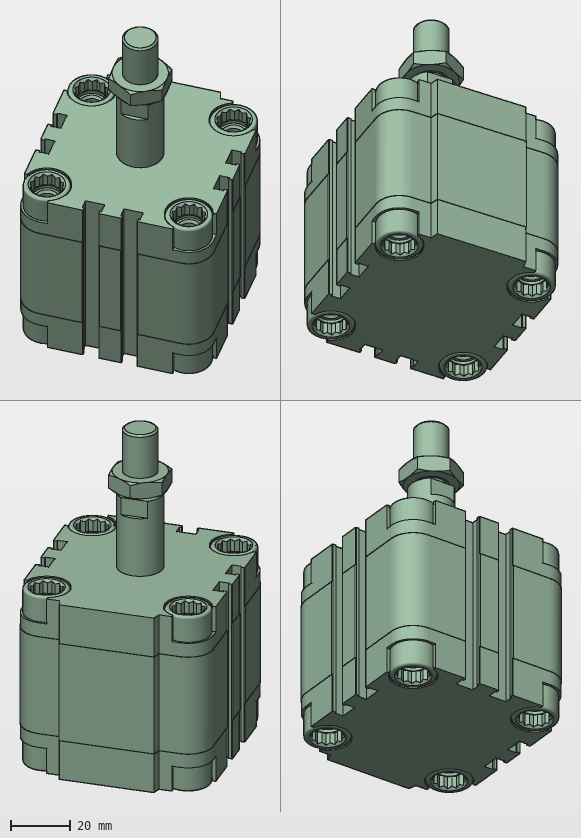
import cadquery as cq
import math

TOTAL_HEIGHT = 117.0

HOUSING_WIDTH = 68.0
HOUSING_HEIGHT = 65.3
END_LENGTH = 14.5
END_INSET = 0.1
HOLE_OFFSET = 25.0
HALF_WIDTH = HOUSING_WIDTH / 2
CORNER_RADIUS = HALF_WIDTH - HOLE_OFFSET
PAD_TOP_Y = 37.0
PAD_TOP_HALF_WIDTH = 16.8
PAD_BASE_HALF_WIDTH = 17.7

SLOT_OFFSET = 6.8
SLOT_DEPTH = 4.9
SLOT_WIDTH = 6.8
MOUTH_WIDTH = 5.5
LIP_THICKNESS = 1.5
LIP_CHAMFER = 0.4

BOSS_DIAMETER = 16.0
BOSS_FILLET = 0.8
GROOVE_DIAMETER = 16.5
CORNER_CUT_DEPTH = 9.4
CORNER_CUT_REACH = 2.9

SOCKET_RIDGE_DIAMETER = 10.4
SOCKET_POINTS = 12
SOCKET_DEPTH = 5.0
LEAD_IN_DIAMETER = 12.6
LEAD_IN_DEPTH = 1.0
BORE_DIAMETER = 10.2
BORE_DEPTH = 6.2
HOLE_DIAMETER = 6.7
HOLE_MOUTH_DIAMETER = 8.3
HOLE_CHAMFER = (HOLE_MOUTH_DIAMETER - HOLE_DIAMETER) / 2

ROD_DIAMETER = 16.0
ROD_INSERTION = END_LENGTH
SHOULDER_Z = 93.1
FLATS_WIDTH = 13.0
FLATS_LENGTH = 6.3
UNDERCUT_DIAMETER = 10.4
THREAD_DIAMETER = 12.0
THREAD_CHAMFER = 0.7

NUT_SIDES = 6
NUT_WIDTH = 19.0
NUT_THICKNESS = 6.0
NUT_Z = 95.0
NUT_CHAMFER_ANGLE = 23.0

CORNERS = [(sx * HOLE_OFFSET, sy * HOLE_OFFSET) for sx in (-1, 1) for sy in (-1, 1)]


def cylinder(diameter, bottom, top):
    """Cylinder on the Z axis between two heights."""
    return cq.Workplane("XY").workplane(offset=bottom).circle(diameter / 2).extrude(top - bottom)


def cone(bottom_diameter, top_diameter, bottom, top):
    """Truncated cone on the Z axis between two heights."""
    return (
        cq.Workplane("XY").workplane(offset=bottom).circle(bottom_diameter / 2)
        .workplane(offset=top - bottom).circle(top_diameter / 2).loft(ruled=True)
    )


def profile_block(inset, bottom, top):
    """Rounded square with the tapered pad on +Y, shrunk all round by the inset."""
    height = top - bottom
    side = HOUSING_WIDTH - 2 * inset
    square = (
        cq.Workplane("XY").workplane(offset=bottom).rect(side, side).extrude(height)
        .edges("|Z").fillet(CORNER_RADIUS - inset)
    )
    pad_outline = [
        (-PAD_BASE_HALF_WIDTH + inset, 0),
        (-PAD_BASE_HALF_WIDTH + inset, HALF_WIDTH - inset),
        (-PAD_TOP_HALF_WIDTH + inset, PAD_TOP_Y - inset),
        (PAD_TOP_HALF_WIDTH - inset, PAD_TOP_Y - inset),
        (PAD_BASE_HALF_WIDTH - inset, HALF_WIDTH - inset),
        (PAD_BASE_HALF_WIDTH - inset, 0),
    ]
    pad = cq.Workplane("XY").workplane(offset=bottom).polyline(pad_outline).close().extrude(height)
    return square.union(pad)


def slot_pair():
    """Cutter for the two T-slots of the -Y face, full height."""
    half_mouth = MOUTH_WIDTH / 2
    half_slot = SLOT_WIDTH / 2
    right_side = [
        (half_mouth + LIP_CHAMFER, 0),
        (half_mouth, LIP_CHAMFER),
        (half_mouth, LIP_THICKNESS),
        (half_slot, LIP_THICKNESS),
        (half_slot, SLOT_DEPTH),
    ]
    left_side = [(-x, y) for x, y in reversed(right_side)]
    return (
        cq.Workplane("XY")
        .pushPoints([(-SLOT_OFFSET, -HALF_WIDTH), (SLOT_OFFSET, -HALF_WIDTH)])
        .eachpoint(
            lambda place: cq.Workplane("XY").polyline(right_side + left_side).close()
            .extrude(HOUSING_HEIGHT).val().moved(place)
        )
    )


def boss_relief():
    """Cutter, for the top of the +X +Y corner, that leaves a filleted round boss in a groove."""
    cut_floor = HOUSING_HEIGHT - CORNER_CUT_DEPTH
    boss = cylinder(BOSS_DIAMETER, cut_floor, HOUSING_HEIGHT).faces(">Z").edges().fillet(BOSS_FILLET)
    corner_side = CORNER_CUT_REACH + CORNER_RADIUS
    corner = (
        cq.Workplane("XY", origin=(-CORNER_CUT_REACH, -CORNER_CUT_REACH, cut_floor))
        .rect(corner_side, corner_side, centered=False).extrude(CORNER_CUT_DEPTH)
    )
    groove = cylinder(GROOVE_DIAMETER, HOUSING_HEIGHT - BOSS_FILLET, HOUSING_HEIGHT)
    return corner.union(groove).cut(boss)


def star_prism(bottom, top):
    """Twelve-pointed star of two overlaid hexagons, with points on the X and Y axes."""
    flat_distance = SOCKET_RIDGE_DIAMETER / 2 * math.cos(math.pi / SOCKET_POINTS)
    point_diameter = 2 * flat_distance / math.cos(2 * math.pi / SOCKET_POINTS)
    hexagon = (
        cq.Workplane("XY").workplane(offset=bottom).polygon(SOCKET_POINTS // 2, point_diameter)
        .extrude(top - bottom)
    )
    return hexagon.union(hexagon.rotate((0, 0, 0), (0, 0, 1), 360 / SOCKET_POINTS))


def socket():
    """Cutter for the star socket, its lead-in, the bore below it and the screw hole, from the top."""
    lead_in_bottom = HOUSING_HEIGHT - LEAD_IN_DEPTH
    floor = HOUSING_HEIGHT - BORE_DEPTH
    middle = HOUSING_HEIGHT / 2
    star = star_prism(HOUSING_HEIGHT - SOCKET_DEPTH, HOUSING_HEIGHT)
    lead_in = cone(SOCKET_RIDGE_DIAMETER, LEAD_IN_DIAMETER, lead_in_bottom, HOUSING_HEIGHT)
    bore = cylinder(BORE_DIAMETER, floor, lead_in_bottom)
    hole_mouth = cone(HOLE_DIAMETER, HOLE_MOUTH_DIAMETER, floor - HOLE_CHAMFER, floor)
    hole = cylinder(HOLE_DIAMETER, middle, floor)
    return star.union(bore).union(lead_in).union(hole_mouth).union(hole)


def make_housing():
    """Cylinder housing: the middle section and both ends in one piece."""
    body = profile_block(0, END_LENGTH, HOUSING_HEIGHT - END_LENGTH)
    body = body.union(profile_block(END_INSET, 0, END_LENGTH))
    body = body.union(profile_block(END_INSET, HOUSING_HEIGHT - END_LENGTH, HOUSING_HEIGHT))

    for angle in (-90, 0, 90):
        body = body.cut(slot_pair().rotate((0, 0, 0), (0, 0, 1), angle))

    relief = boss_relief()
    socket_cutter = socket()
    middle = (0, 0, HOUSING_HEIGHT / 2)
    for x, y in CORNERS:
        turn = math.degrees(math.atan2(y, x)) - 45
        for cutter in (relief, socket_cutter):
            upper = cutter.rotate((0, 0, 0), (0, 0, 1), turn).translate((x, y, 0))
            body = body.cut(upper).cut(upper.mirror("XY", middle))

    return body.cut(cylinder(ROD_DIAMETER, HOUSING_HEIGHT - ROD_INSERTION, HOUSING_HEIGHT))


def make_rod():
    """Stepped rod, set into the housing, with wrench flats on +Y and -Y below the shoulder."""
    shank = cylinder(ROD_DIAMETER, HOUSING_HEIGHT - ROD_INSERTION, SHOULDER_Z)
    flats_bottom = SHOULDER_Z - FLATS_LENGTH
    across_flats = (
        cq.Workplane("XY").workplane(offset=flats_bottom)
        .rect(2 * ROD_DIAMETER, FLATS_WIDTH).extrude(FLATS_LENGTH)
    )
    waste = cylinder(ROD_DIAMETER, flats_bottom, SHOULDER_Z).cut(across_flats)
    undercut = cylinder(UNDERCUT_DIAMETER, SHOULDER_Z, NUT_Z)
    thread = cylinder(THREAD_DIAMETER, NUT_Z, TOTAL_HEIGHT).faces(">Z").edges().chamfer(THREAD_CHAMFER)
    return shank.cut(waste).union(undercut).union(thread)


def make_nut():
    """Hexagon nut with two flats facing X and its corners chamfered at both ends."""
    corner_diameter = NUT_WIDTH / math.cos(math.pi / NUT_SIDES)
    chamfer_height = (corner_diameter - NUT_WIDTH) / 2 * math.tan(math.radians(NUT_CHAMFER_ANGLE))
    nut_top = NUT_Z + NUT_THICKNESS
    hexagon = (
        cq.Workplane("XY").workplane(offset=NUT_Z).polygon(NUT_SIDES, corner_diameter)
        .extrude(NUT_THICKNESS).rotate((0, 0, 0), (0, 0, 1), 180 / NUT_SIDES)
    )
    envelope = (
        cone(NUT_WIDTH, corner_diameter, NUT_Z, NUT_Z + chamfer_height)
        .union(cylinder(corner_diameter, NUT_Z + chamfer_height, nut_top - chamfer_height))
        .union(cone(corner_diameter, NUT_WIDTH, nut_top - chamfer_height, nut_top))
    )
    return hexagon.intersect(envelope).cut(cylinder(THREAD_DIAMETER, NUT_Z, nut_top))


housing = make_housing()
rod = make_rod()
nut = make_nut()

result = cq.Compound.makeCompound([housing.val(), rod.val(), nut.val()])